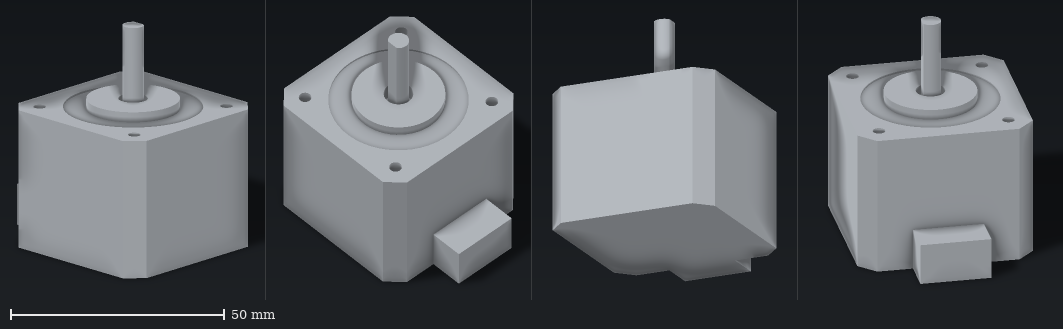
import cadquery as cq

body_side = 42.0
body_height = 33.75
corner_chamfer = 4.0

pilot_diameter = 22.0
pilot_rise = 2.0
recess_diameter = 32.95
recess_depth = 0.5

total_height = 53.75
shaft_diameter = 5.0
shaft_flat_offset = 2.0
bore_diameter = 7.0
bore_depth = 4.0

hole_spacing = 30.95
hole_diameter = 3.0
hole_depth = 4.5

connector_length = 8.7
connector_width = 17.0
connector_height = 10.0

pilot_top = body_height + pilot_rise
recess_floor = body_height - recess_depth
bore_floor = pilot_top - bore_depth


def cylinder(diameter, bottom, top):
    """Cylinder on the shaft axis between two heights."""
    return cq.Workplane("XY").workplane(offset=bottom).circle(diameter / 2).extrude(top - bottom)


def make_body():
    body = (
        cq.Workplane("XY")
        .rect(body_side, body_side)
        .extrude(body_height)
        .edges("|Z")
        .chamfer(corner_chamfer)
    )
    holes = (
        cq.Workplane("XY")
        .workplane(offset=body_height - hole_depth)
        .rect(hole_spacing, hole_spacing, forConstruction=True)
        .vertices()
        .circle(hole_diameter / 2)
        .extrude(hole_depth)
    )
    return body.cut(holes)


def make_connector():
    return cq.Workplane("XY").box(
        connector_length, connector_width, connector_height, centered=(False, True, False)
    ).translate((-body_side / 2 - connector_length, 0, 0))


def make_shaft():
    shaft = cylinder(shaft_diameter, bore_floor, total_height)
    beyond_flat = (
        cq.Workplane("XY")
        .box(shaft_diameter, shaft_diameter, total_height, centered=(True, False, False))
        .translate((0, shaft_flat_offset, 0))
    )
    return shaft.cut(beyond_flat)


result = (
    make_body()
    .union(make_connector())
    .cut(cylinder(recess_diameter, recess_floor, body_height))
    .union(cylinder(pilot_diameter, recess_floor, pilot_top))
    .cut(cylinder(bore_diameter, bore_floor, pilot_top))
    .union(make_shaft())
)